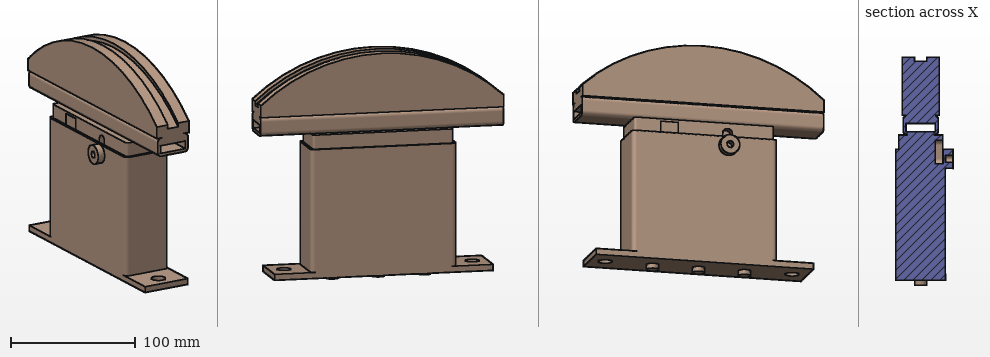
import cadquery as cq

plate_length = 180.0
plate_thickness = 5.0
mount_hole_diameter = 11.2
mount_hole_spacing = 154.8

stud_diameter = 10.0
stud_length = 4.0
stud_spacing = 38.0

housing_length = 120.0
housing_depth = 40.0
housing_height = 100.0
housing_corner_radius = 3.5
housing_top = plate_thickness + housing_height
head_inset = 2.2
head_length = housing_length - 2 * head_inset
head_depth = housing_depth - 2 * head_inset
head_corner_radius = 2.2
head_height = 11.5
head_top = housing_top + head_height

knob_diameter = 15.5
knob_length = 6.0
knob_bore_diameter = 5.5
knob_x = 19.5
knob_z = housing_top - knob_diameter / 2

guide_width = 7.8
guide_height = 7.0
guide_depth = 6.0

label_width = 14.8
label_height = 9.5
label_x = -28.8
label_relief = 0.1

shoe_length = 200.0
rail_width = 28.5
rail_height = 15.5
rail_wall = 2.5
rail_corner_radius = 3.5
rail_inner_radius = rail_corner_radius - rail_wall
rail_mouth = 14.0
rail_top = head_top + rail_height
rail_cavity_width = rail_width - 2 * rail_wall

shoe_depth = 30.0
shoe_top = 180.0
shoe_radius = 150.0
groove_width = 9.5
groove_depth = 3.2
tongue_height = 4.0


def upright_block(length, depth, height, bottom, corner_radius):
    """Block with rounded vertical corners."""
    block = cq.Workplane("XY").box(length, depth, height, centered=(True, True, False))
    return block.edges("|Z").fillet(corner_radius).translate((0, 0, bottom))


def long_bar(depth, bottom, top):
    """Rectangular bar running the full length of the shoe."""
    bar = cq.Workplane("XY").box(shoe_length, depth, top - bottom, centered=(True, True, False))
    return bar.translate((0, 0, bottom))


def base_plate():
    plate = cq.Workplane("XY").box(
        plate_length, housing_depth, plate_thickness, centered=(True, True, False)
    )
    holes = cq.Workplane("XY").rarray(mount_hole_spacing, 2, 2, 1)
    return plate.cut(holes.circle(mount_hole_diameter / 2).extrude(plate_thickness))


def studs():
    spots = cq.Workplane("XY").rarray(stud_spacing, 2, 3, 1)
    return spots.circle(stud_diameter / 2).extrude(-stud_length)


def head_front():
    """Sketch plane on the front face of the head, level with the housing top."""
    return cq.Workplane("XZ", origin=(0, -head_depth / 2, housing_top))


def label():
    face = head_front().center(label_x, label_height / 2)
    return face.rect(label_width, label_height).extrude(label_relief)


def guide_slot():
    """Round-ended slot that continues down behind the front wall of the housing."""
    slot_top = guide_height
    slot_bottom = knob_z - housing_top - guide_width / 2
    face = head_front().center(knob_x, (slot_top + slot_bottom) / 2)
    return face.slot2D(slot_top - slot_bottom, guide_width, 90).extrude(-guide_depth)


def knob():
    face = cq.Workplane("XZ", origin=(knob_x, -housing_depth / 2, knob_z))
    return face.circle(knob_diameter / 2).circle(knob_bore_diameter / 2).extrude(knob_length)


def rail():
    outside = long_bar(rail_width, head_top, rail_top).edges("|X").fillet(rail_corner_radius)
    cavity = long_bar(rail_cavity_width, head_top + rail_wall, rail_top - rail_wall)
    cavity = cavity.edges("|X and >Z").fillet(rail_inner_radius)
    mouth = long_bar(rail_mouth, rail_top - rail_wall, rail_top)
    return outside.cut(cavity).cut(mouth)


def shoe_profile(depth, top):
    """Slab with a flat bottom, straight ends and an arched top."""
    sagitta = shoe_radius - (shoe_radius**2 - (shoe_length / 2) ** 2) ** 0.5
    return (
        cq.Workplane("XZ")
        .moveTo(-shoe_length / 2, rail_top)
        .lineTo(-shoe_length / 2, top - sagitta)
        .threePointArc((0, top), (shoe_length / 2, top - sagitta))
        .lineTo(shoe_length / 2, rail_top)
        .close()
        .extrude(depth / 2, both=True)
    )


def shoe():
    groove = shoe_profile(groove_width, shoe_top).cut(
        shoe_profile(groove_width, shoe_top - groove_depth)
    )
    neck = long_bar(rail_mouth, rail_top - rail_wall, rail_top)
    tongue_top = rail_top - rail_wall
    tongue = long_bar(rail_cavity_width, tongue_top - tongue_height, tongue_top)
    tongue = tongue.edges("|X and >Z").fillet(rail_inner_radius)
    return shoe_profile(shoe_depth, shoe_top).cut(groove).union(neck).union(tongue)


housing = upright_block(
    housing_length, housing_depth, housing_height, plate_thickness, housing_corner_radius
)
head = upright_block(head_length, head_depth, head_height, housing_top, head_corner_radius)
slotted_body = housing.union(head).cut(guide_slot())

result = base_plate()
for piece in (studs(), slotted_body, label(), knob(), rail(), shoe()):
    result = result.union(piece)